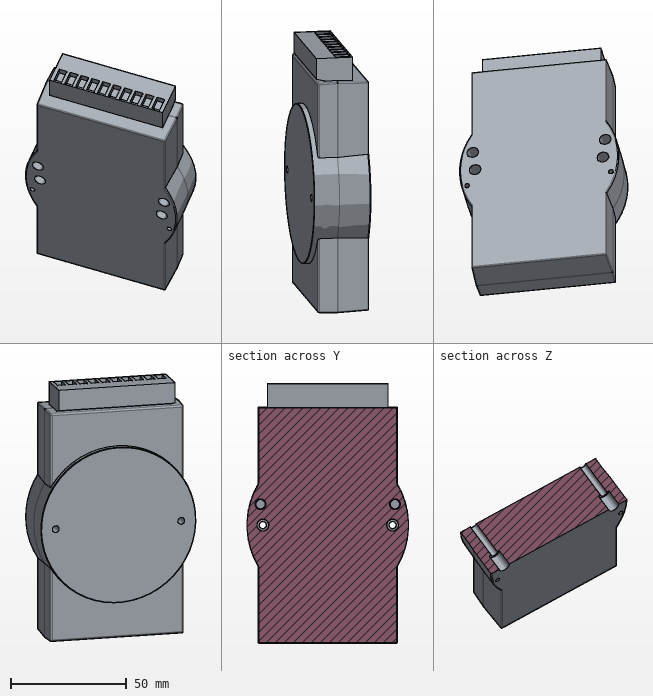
import cadquery as cq
import math

case_width = 60.0
case_height = 102.0
case_back = 22.5
parting_y = 13.6
front_draft = 2.0
back_draft = 2.0
case_corner_radius = 0.5
front_edge_radius = 0.5
back_edge_radius = 0.8
parting_land = 0.3

disc_radius = 34.9
disc_back = 25.0
disc_draft = 1.5
disc_edge_chamfer = 0.25

block_width = 52.0
block_front = 6.5
block_back = 22.4
block_rise = 10.0
block_bevel_depth = 3.5
block_bevel_rise = 0.9
block_embed = 1.0

slot_count = 10
slot_pitch = 5.0
slot_width = 3.5
slot_front = 7.3
slot_back = 13.7
slot_depth = 2.5

peg_x, peg_z = 29.0, 9.0
peg_mouth_diameter = 5.0
peg_floor_diameter = 4.0
peg_depth = 8.0

screw_x = 28.0
screw_head_diameter = 5.0
screw_head_depth = 8.0
screw_diameter = 3.0

pin_x, pin_z = 31.5, -7.9
pin_diameter = 2.0
pin_depth = 3.0

case_top = case_height / 2
back_start = parting_y + parting_land
disc_back_radius = disc_radius - (disc_back - back_start) * math.tan(math.radians(disc_draft))


def plane_at(y, facing):
    """Plane parallel to XZ at the given Y; facing is +1 for a +Y normal, -1 for -Y."""
    return cq.Workplane(cq.Plane(origin=(0, y, 0), xDir=(1, 0, 0), normal=(0, facing, 0)))


def cone_along_y(x, y, z, start_radius, end_radius, length):
    """Truncated cone starting at (x, y, z) and running toward +Y."""
    start = cq.Vector(x, y, z)
    return cq.Workplane(cq.Solid.makeCone(start_radius, end_radius, length, start, cq.Vector(0, 1, 0)))


def case_section(start_y, depth, facing, draft):
    """Slice of the rectangular case running from start_y, narrowing by the draft angle."""
    half = plane_at(start_y, facing).rect(case_width, case_height).extrude(depth, taper=draft)
    corner_edges = half.edges("not(#Y)")
    return corner_edges.fillet(case_corner_radius)


def front_shell():
    """Case and straight-sided disc in front of the parting plane, rounded at the front."""
    disc = plane_at(parting_y, -1).circle(disc_radius).extrude(parting_y)
    shell = case_section(parting_y, parting_y, -1, front_draft).union(disc)
    return shell.faces("<Y").edges().fillet(front_edge_radius)


def parting_band():
    """Narrow band without draft between the two shells, following their common outline."""
    disc = plane_at(parting_y, 1).circle(disc_radius).extrude(parting_land)
    return case_section(parting_y, parting_land, 1, 0).union(disc)


def back_shell():
    """Case behind the parting band and the drafted disc standing proud of it."""
    case = case_section(back_start, case_back - back_start, 1, back_draft)
    case = case.faces(">Y").edges("|Z").fillet(back_edge_radius)
    disc = cone_along_y(0, back_start, 0, disc_radius, disc_back_radius, disc_back - back_start)
    disc = disc.faces(">Y").edges().chamfer(disc_edge_chamfer)
    return case.union(disc)


def terminal_block():
    """Block with a bevelled lower back edge and a row of shallow wire slots on top."""
    block_top = case_top + block_rise
    bevel_start = block_back - block_bevel_depth
    block = (
        cq.Workplane("YZ")
        .moveTo(block_front, case_top - block_embed)
        .lineTo(bevel_start, case_top - block_embed)
        .lineTo(bevel_start, case_top)
        .lineTo(block_back, case_top + block_bevel_rise)
        .lineTo(block_back, block_top)
        .lineTo(block_front, block_top)
        .close()
        .extrude(block_width / 2, both=True)
    )
    slots = (
        cq.Workplane("XY", origin=(0, (slot_front + slot_back) / 2, block_top))
        .rarray(slot_pitch, 1, slot_count, 1)
        .rect(slot_width, slot_back - slot_front)
        .extrude(-slot_depth)
    )
    return block.cut(slots)


def front_hole(x, z, diameter, depth):
    """Hole cutter running from the front face toward +Y."""
    return plane_at(0, 1).center(x, -z).circle(diameter / 2).extrude(depth)


def hole_cutters(side):
    """The blind peg hole, counterbored screw hole and pin hole on one side."""
    peg_mouth_radius = peg_mouth_diameter / 2
    peg_floor_radius = peg_floor_diameter / 2
    cutters = cone_along_y(side * peg_x, 0, peg_z, peg_mouth_radius, peg_floor_radius, peg_depth)
    cutters = cutters.union(front_hole(side * screw_x, 0, screw_head_diameter, screw_head_depth))
    cutters = cutters.union(front_hole(side * screw_x, 0, screw_diameter, disc_back))
    return cutters.union(front_hole(side * pin_x, pin_z, pin_diameter, pin_depth))


result = front_shell().union(parting_band()).union(back_shell()).union(terminal_block())
for side in (-1, 1):
    result = result.cut(hole_cutters(side))